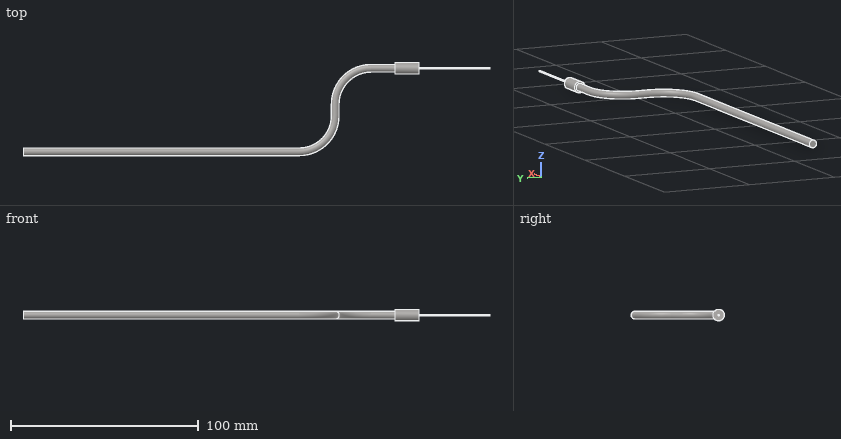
import cadquery as cq

total_length = 249.0
total_width = 49.8

tube_diameter = 4.2
sleeve_diameter = 6.2
wire_diameter = 0.7

long_run = 147.2
bend_radius = 19.2
sleeve_start = 198.3
sleeve_length = 13.0

run_offset = total_width - tube_diameter / 2 - sleeve_diameter / 2
riser_x = long_run + bend_radius
riser_top = run_offset - bend_radius
upper_run_start = riser_x + bend_radius
sleeve_end = sleeve_start + sleeve_length


def rod(start_x, end_x, diameter):
    """Round bar on the upper run's axis, between two X positions."""
    return (
        cq.Workplane("YZ", origin=(start_x, run_offset, 0))
        .circle(diameter / 2)
        .extrude(end_x - start_x)
    )


tube_path = (
    cq.Workplane("XY")
    .lineTo(long_run, 0)
    .tangentArcPoint((riser_x, bend_radius), relative=False)
    .lineTo(riser_x, riser_top)
    .tangentArcPoint((upper_run_start, run_offset), relative=False)
    .lineTo(sleeve_start, run_offset)
)
tube = cq.Workplane("YZ").circle(tube_diameter / 2).sweep(tube_path)

sleeve = rod(sleeve_start, sleeve_end, sleeve_diameter)
wire = rod(sleeve_end, total_length, wire_diameter)

result = tube.union(sleeve).union(wire)